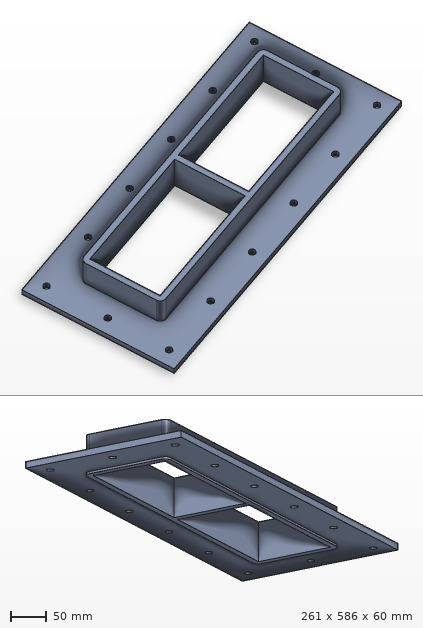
import cadquery as cq

plate_width = 261.0
plate_length = 586.0
plate_thickness = 10.0

duct_width = 140.0
duct_length = 466.5
duct_height = 60.0
duct_drop = 3.5
wall = 10.0
corner_radius = 10.0

hole_diameter = 10.5
hole_span_x = 210.0
hole_span_y = 535.5
holes_per_side = 6
hole_pitch_y = hole_span_y / (holes_per_side - 1)

window_width = duct_width - 2 * wall
window_length = (duct_length - 3 * wall) / 2
window_offset = (window_length + wall) / 2


def bolt_points():
    """Centres of the side rows plus one hole in the middle of each end."""
    points = [(0, -hole_span_y / 2), (0, hole_span_y / 2)]
    for x in (-hole_span_x / 2, hole_span_x / 2):
        for row in range(holes_per_side):
            points.append((x, -hole_span_y / 2 + row * hole_pitch_y))
    return points


def make_plate():
    plate = cq.Workplane("XY").rect(plate_width, plate_length).extrude(plate_thickness)
    return plate.faces(">Z").workplane().pushPoints(bolt_points()).hole(hole_diameter)


def make_duct_body():
    """Solid outer block of the duct, rounded at the vertical corners."""
    body = (
        cq.Workplane("XY", origin=(0, 0, -duct_drop))
        .rect(duct_width, duct_length)
        .extrude(duct_height)
    )
    return body.edges("|Z").fillet(corner_radius)


def make_windows():
    return (
        cq.Workplane("XY", origin=(0, 0, -duct_drop))
        .pushPoints([(0, -window_offset), (0, window_offset)])
        .rect(window_width, window_length)
        .extrude(duct_height)
    )


result = make_plate().union(make_duct_body()).cut(make_windows())